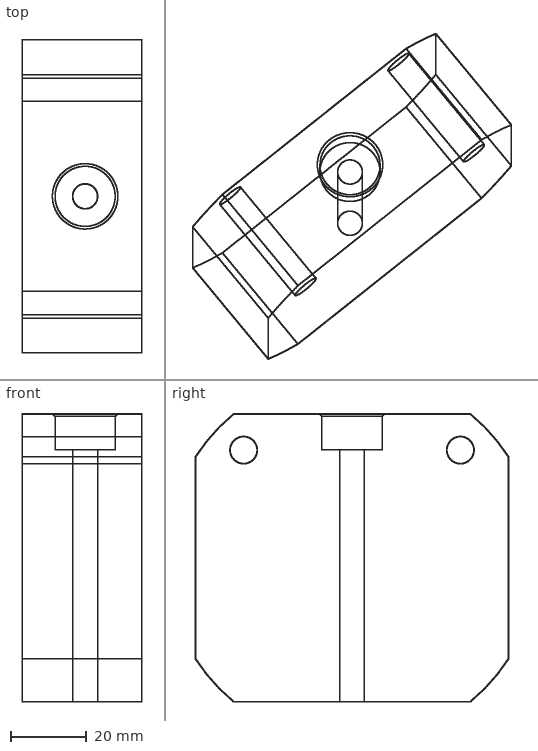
import cadquery as cq

thickness = 31.7
width = 82.8
height = 76.2
corner_radius = 49.3

mount_diameter = 7.1
mount_y = 28.65
mount_z = 28.5

port_x = 0.8
port_diameter = 6.5
bore_diameter = 15.9
bore_depth = 9.5
mouth_diameter = 17.3
mouth_chamfer = (mouth_diameter - bore_diameter) / 2


def make_block():
    block = cq.Workplane("XY").box(thickness, width, height)
    round_bar = cq.Workplane("YZ").circle(corner_radius).extrude(thickness / 2, both=True)
    return block.intersect(round_bar)


def make_mount_holes():
    centres = [(-mount_y, mount_z), (mount_y, mount_z)]
    holes = cq.Workplane("YZ").pushPoints(centres).circle(mount_diameter / 2)
    return holes.extrude(thickness, both=True)


def make_port():
    """Stepped round cutter, turned about the vertical port axis."""
    top = height / 2
    profile = [
        (0, -top),
        (port_diameter / 2, -top),
        (port_diameter / 2, top - bore_depth),
        (bore_diameter / 2, top - bore_depth),
        (bore_diameter / 2, top - mouth_chamfer),
        (mouth_diameter / 2, top),
        (0, top),
    ]
    cutter = cq.Workplane("XZ").polyline(profile).close().revolve(360, (0, 0, 0), (0, 1, 0))
    return cutter.translate((port_x, 0, 0))


result = make_block().cut(make_mount_holes()).cut(make_port())